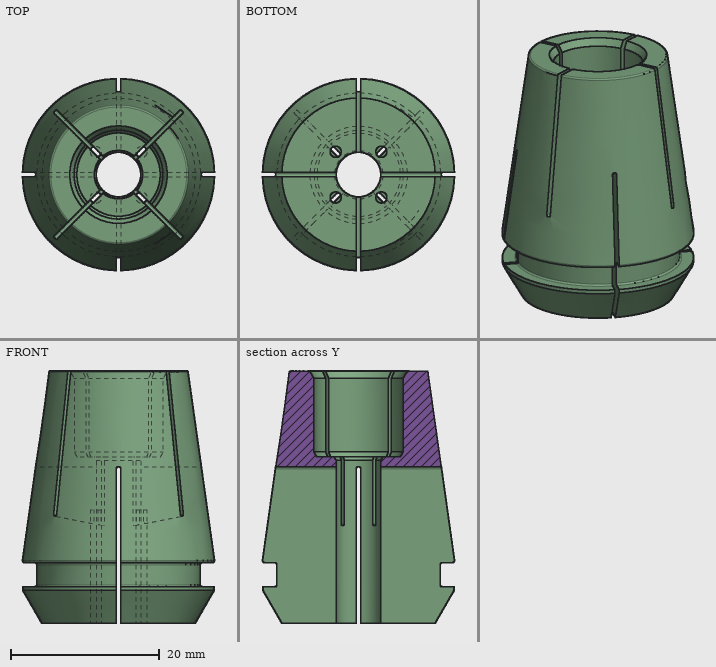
import cadquery as cq
import math

height = 34.0
max_diameter = 25.87
max_radius = max_diameter / 2
cone_angle = 8.0
cone_slope = math.tan(math.radians(cone_angle))

rim_bottom_z = 4.45
groove_bottom_z = 4.95
groove_top_z = 8.15
groove_radius = 11.0
groove_fillet = 0.25
rim_radius = 12.9
nose_angle = 30.0
nose_radius = rim_radius - rim_bottom_z * math.tan(math.radians(nose_angle))

lip_fillet = 0.3
top_fillet = 0.25
widest_z = groove_top_z + lip_fillet

bore_diameter = 6.0
bore_bevel = 0.27
relief_diameter = 2 * bore_diameter
relief_radius = relief_diameter / 2
relief_floor_z = 22.45
floor_bevel = 0.37
mouth_radius = 6.55
bevel_angle = 30.0

slit_count = 4
slit_width = 0.58
upper_slit_end_z = 14.45
lower_slit_end_z = 21.08
upper_slit_start_angle = 45.0

hole_diameter = 1.5
hole_circle_radius = 4.35
hole_depth = 15.3


def cone_radius(z):
    """Radius of the clamping cone at height z."""
    return max_radius - (z - widest_z) * cone_slope


def bevel_height(width):
    """Height of a conical bevel of the given radial width."""
    return width / math.tan(math.radians(bevel_angle))


def edges_at(solid, z, radius):
    """Circular edges of the given radius at height z."""
    margin = 0.017
    outer = cq.selectors.BoxSelector(
        (-radius - margin, -radius - margin, z - margin),
        (radius + margin, radius + margin, z + margin), boundingbox=True)
    inner_radius = radius - margin
    inner = cq.selectors.BoxSelector(
        (-inner_radius, -inner_radius, z - margin),
        (inner_radius, inner_radius, z + margin), boundingbox=True)
    return solid.edges(outer - inner)


def turned_body():
    """Outer shape: flared nose, extraction groove and clamping cone."""
    body = (
        cq.Workplane("XZ")
        .polyline([
            (0, 0),
            (nose_radius, 0),
            (rim_radius, rim_bottom_z),
            (rim_radius, groove_bottom_z),
            (groove_radius, groove_bottom_z),
            (groove_radius, groove_top_z),
            (cone_radius(groove_top_z), groove_top_z),
            (cone_radius(height), height),
            (0, height),
        ])
        .close()
        .revolve(360, (0, 0), (0, 1))
    )
    body = edges_at(body, groove_bottom_z, groove_radius).fillet(groove_fillet)
    body = edges_at(body, groove_top_z, groove_radius).fillet(groove_fillet)
    body = edges_at(body, groove_top_z, cone_radius(groove_top_z)).fillet(lip_fillet)
    return edges_at(body, height, cone_radius(height)).fillet(top_fillet)


def stepped_bore():
    """Clamping bore, relief bore and countersunk mouth as one cutter."""
    bore_radius = bore_diameter / 2
    return (
        cq.Workplane("XZ")
        .polyline([
            (0, 0),
            (bore_radius, 0),
            (bore_radius, relief_floor_z - bevel_height(bore_bevel)),
            (bore_radius + bore_bevel, relief_floor_z),
            (relief_radius - floor_bevel, relief_floor_z),
            (relief_radius, relief_floor_z + bevel_height(floor_bevel)),
            (relief_radius, height - bevel_height(mouth_radius - relief_radius)),
            (mouth_radius, height),
            (0, height),
        ])
        .close()
        .revolve(360, (0, 0), (0, 1))
    )


def slit_blade(inward, outward, reach):
    """Blade along X with a round lower edge resting on the XY plane."""
    edge_radius = slit_width / 2
    return (
        cq.Workplane("YZ", origin=(-inward, 0, 0))
        .moveTo(-edge_radius, edge_radius)
        .threePointArc((0, 0), (edge_radius, edge_radius))
        .lineTo(edge_radius, reach)
        .lineTo(-edge_radius, reach)
        .close()
        .extrude(inward + outward)
    )


def upper_slit():
    """Slit open at the top; its floor is square to the cone, so it dips inwards."""
    end_radius = cone_radius(upper_slit_end_z)
    blade = slit_blade(end_radius, max_radius, height)
    blade = blade.rotate((0, 0, 0), (0, 1, 0), -cone_angle)
    return blade.translate((end_radius, 0, upper_slit_end_z))


def lower_slit():
    """Slit open at the bottom, with a level round end."""
    blade = slit_blade(0, 2 * max_radius, height)
    blade = blade.rotate((0, 0, 0), (1, 0, 0), 180)
    return blade.translate((0, 0, lower_slit_end_z))


def relief_hole():
    """Blind hole drilled up from the bottom face."""
    return (
        cq.Workplane("XY")
        .center(hole_circle_radius, 0)
        .circle(hole_diameter / 2)
        .extrude(hole_depth)
    )


result = turned_body().cut(stepped_bore())
for index in range(slit_count):
    lower_angle = index * 360 / slit_count
    upper_angle = lower_angle + upper_slit_start_angle
    result = result.cut(lower_slit().rotate((0, 0, 0), (0, 0, 1), lower_angle))
    result = result.cut(upper_slit().rotate((0, 0, 0), (0, 0, 1), upper_angle))
    result = result.cut(relief_hole().rotate((0, 0, 0), (0, 0, 1), upper_angle))